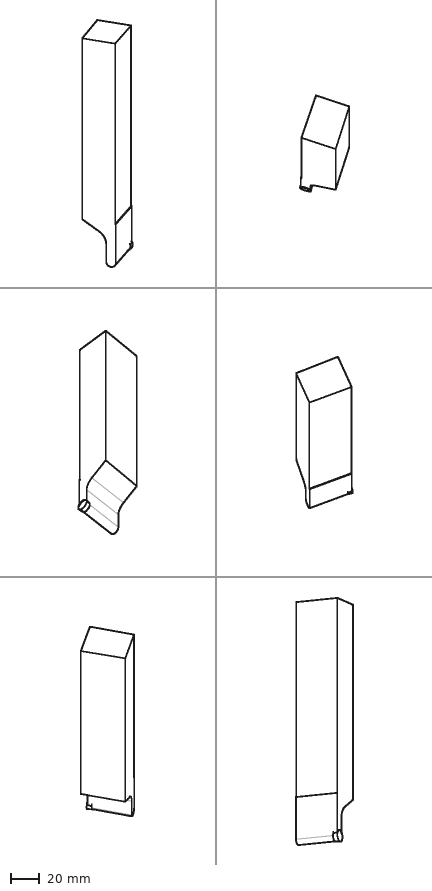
import cadquery as cq
import math

total_height = 171.4

insert_radius = 4.1
insert_back_radius = 3.8
insert_thickness = 3.6
insert_proud = 0.5

blade_half_width = 3.6
holder_depth = 31.5

overall_width = 26.0
shank_right = 3.0
shank_left = insert_radius - overall_width
shank_top = total_height - insert_radius
side_lean = 0.7

shoulder_height = 29.6
shoulder_slope = math.radians(30)
shoulder_fillet = 10.0
slope_end_height = shoulder_height - (-blade_half_width - shank_left) * math.tan(shoulder_slope)

insert_face_y = holder_depth + insert_proud
insert_seat_y = insert_face_y - insert_thickness


def make_insert():
    """Truncated cone, wide at the +Y face and narrow at its seat."""
    axis = cq.Vector(0, 1, 0)
    seat = cq.Vector(0, insert_seat_y, 0)
    return cq.Solid.makeCone(insert_back_radius, insert_radius, insert_thickness, seat, axis)


def make_holder_profile():
    """Shank, shoulder and round-nosed blade extruded along the full depth."""
    blank = (
        cq.Workplane("XZ")
        .moveTo(shank_left, shank_top)
        .lineTo(shank_right, shank_top)
        .lineTo(shank_right, shoulder_height)
        .lineTo(blade_half_width, shoulder_height)
        .lineTo(blade_half_width, 0)
        .threePointArc((0, -blade_half_width), (-blade_half_width, 0))
        .lineTo(-blade_half_width, slope_end_height)
        .lineTo(shank_left, shoulder_height)
        .close()
        .extrude(-holder_depth)
    )
    corner = cq.selectors.NearestToPointSelector((-blade_half_width, holder_depth / 2, slope_end_height))
    return blank.edges(corner).fillet(shoulder_fillet)


def make_side_wedge():
    """Sliver removed from the left side so that it leans inward toward -Y."""
    return (
        cq.Workplane("XY")
        .moveTo(shank_left, 0)
        .lineTo(shank_left + side_lean, 0)
        .lineTo(shank_left, holder_depth)
        .close()
        .extrude(shank_top)
    )


insert = make_insert()
holder = make_holder_profile().cut(make_side_wedge()).cut(cq.Workplane(insert))

result = cq.Compound.makeCompound([holder.val(), insert])